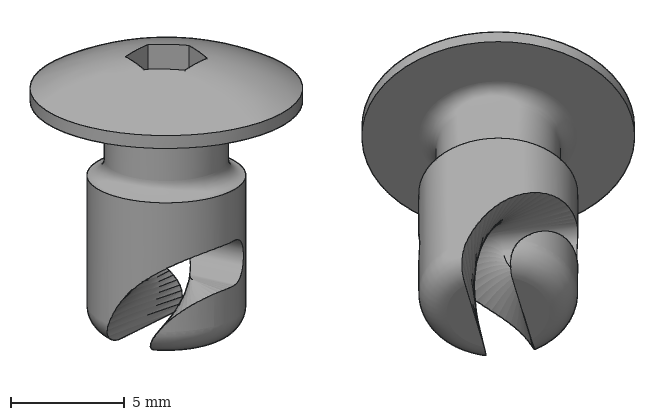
import cadquery as cq
import math


head_radius = 5.999
rim_bottom = 10.79
rim_top = 11.4
top_height = 12.86
neck_radius = 2.74
body_radius = 3.5
body_top = 7.3
neck_flare = 0.73
flare_radius = neck_radius + neck_flare
bottom_round = 1.23
dome_radius = 12.22

socket_corner_radius = 1.8
socket_depth = 2.06
socket_turn = -10.0
socket_flat_radius = socket_corner_radius * math.cos(math.pi / 6)

slot_radius = 1.05
slot_height = 3.86
slot_end = -1.29
bend_start = -0.6
bend_radius = 5.17
bend_center_height = slot_height - bend_radius
level_steps = 3
bend_steps = 24
pin_length = 3 * body_radius


def dome_height(radius):
    """Height of the spherical dome at a given distance from the axis."""
    center = top_height - math.sqrt(dome_radius**2 - socket_flat_radius**2)
    return center + math.sqrt(dome_radius**2 - radius**2)


def turned_blank():
    """Revolve the outline of head, neck and body."""
    diagonal = neck_flare * (1 - math.sqrt(0.5))
    round_diagonal = bottom_round * (1 - math.sqrt(0.5))
    profile = (
        cq.Workplane("XZ")
        .lineTo(body_radius - bottom_round, 0)
        .threePointArc((body_radius - round_diagonal, round_diagonal), (body_radius, bottom_round))
        .lineTo(body_radius, body_top)
        .lineTo(flare_radius, body_top)
        .threePointArc(
            (neck_radius + diagonal, body_top + diagonal), (neck_radius, body_top + neck_flare)
        )
        .lineTo(neck_radius, rim_bottom - neck_flare)
        .threePointArc((neck_radius + diagonal, rim_bottom - diagonal), (flare_radius, rim_bottom))
        .lineTo(head_radius, rim_bottom)
        .lineTo(head_radius, rim_top)
        .threePointArc((head_radius / 2, dome_height(head_radius / 2)), (0, dome_height(0)))
        .close()
    )
    return profile.revolve(360, (0, 0), (0, 1))


def hex_socket():
    """Hexagonal prism that cuts the driver socket and the dome's crown above it."""
    return (
        cq.Workplane("XY")
        .workplane(offset=top_height - socket_depth)
        .polygon(6, 2 * socket_corner_radius)
        .extrude(2 * socket_depth)
        .rotate((0, 0, 0), (0, 0, 1), socket_turn)
    )


def pin_path():
    """Closely spaced pin positions: a level stretch, then a bend down through the bottom end."""
    level_length = bend_start - slot_end
    positions = [
        (slot_end + level_length * step / level_steps, slot_height) for step in range(level_steps)
    ]
    for step in range(bend_steps + 1):
        angle = math.pi / 2 * step / bend_steps
        around = bend_start + bend_radius * math.sin(angle)
        height = bend_center_height + bend_radius * math.cos(angle)
        positions.append((around, height))
    return positions


def cross_pin(around, height):
    """Round pin through the axis, turned from -X toward +Y by an arc length on the body."""
    turn = around / body_radius
    direction = cq.Vector(-math.cos(turn), math.sin(turn), 0)
    start = cq.Vector(0, 0, height) - direction * (pin_length / 2)
    return cq.Solid.makeCylinder(slot_radius, pin_length, start, direction)


result = turned_blank().cut(hex_socket())
for pin_around, pin_height in pin_path():
    result = result.cut(cq.Workplane(cross_pin(pin_around, pin_height)))